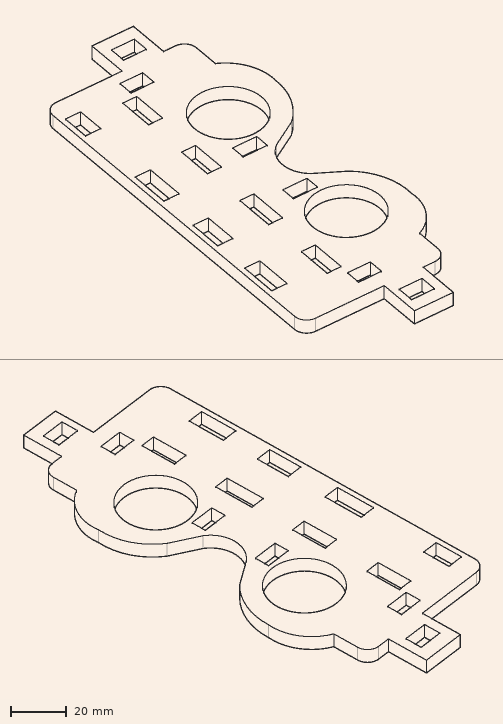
import cadquery as cq

thickness = 6.0
overall_length = 189.9
arch_peak_y = 75.5
body_width = 154.0
shoulder_y = 64.2
corner_radius = 5.3

tab_top_y = 53.5
left_tab_bottom_y = 35.0
right_tab_bottom_y = 36.0

hole_diameter = 30.0
hole_y = 50.9
left_hole_x = -35.1
right_hole_x = 35.0

valley_y = 48.6
valley_end = (10.3, 53.7)
left_arch_start = (-60.4, shoulder_y)
left_arch_flank = (-52.6, 72.5)
left_arch_peak = (-39.3, arch_peak_y)
left_arch_shoulder = (-25.6, 72.3)
left_arch_end = (-17.3, 65.7)
right_arch_end = (17.3, 65.3)
right_arch_shoulder = (25.3, 72.2)
right_arch_peak = (40.6, arch_peak_y)
right_arch_flank = (53.7, 72.5)
right_arch_start = (60.8, shoulder_y)

inner_slots = (40.0, 10.8, [(-18.2, 6.3), (11.5, 6.3)])
tab_slots = (39.1, 10.3, [(-88.9, 7.2), (81.8, 7.5)])
side_slots = (30.0, 10.3, [(-71.8, 6.6), (63.2, 6.6)])
middle_slots = (24.1, 6.3, [(-62.3, 15.4), (-27.3, 15.4), (7.2, 17.0), (43.7, 15.4)])
lower_slots = (2.3, 6.8, [(-67.5, 12.0), (-26.0, 17.0), (8.4, 14.6), (39.0, 16.1)])


def make_block(left, bottom, width, height):
    """Rectangular block through the plate thickness."""
    return cq.Workplane("XY").box(width, height, thickness, centered=False).translate((left, bottom, 0))


def make_body():
    """Rounded rectangle with straight shoulders."""
    body = make_block(-body_width / 2, 0, body_width, shoulder_y)
    return body.edges("|Z").fillet(corner_radius)


def make_tabs():
    """Left and right end tabs, joined by a strip across the body."""
    left = make_block(
        -overall_length / 2, left_tab_bottom_y, overall_length / 2, tab_top_y - left_tab_bottom_y
    )
    right = make_block(0, right_tab_bottom_y, overall_length / 2, tab_top_y - right_tab_bottom_y)
    return left.union(right)


def make_arches():
    """Arched region above the valley floor."""
    return (
        cq.Workplane("XY")
        .moveTo(left_arch_start[0], hole_y - hole_diameter / 2)
        .lineTo(*left_arch_start)
        .threePointArc(left_arch_flank, left_arch_peak)
        .threePointArc(left_arch_shoulder, left_arch_end)
        .lineTo(-valley_end[0], valley_end[1])
        .threePointArc((0, valley_y), valley_end)
        .lineTo(*right_arch_end)
        .threePointArc(right_arch_shoulder, right_arch_peak)
        .threePointArc(right_arch_flank, right_arch_start)
        .lineTo(right_arch_start[0], hole_y - hole_diameter / 2)
        .close()
        .extrude(thickness)
    )


def make_valley():
    """Gap between the arches, cut through the body's straight shoulder."""
    return (
        cq.Workplane("XY")
        .moveTo(*left_arch_end)
        .lineTo(-valley_end[0], valley_end[1])
        .threePointArc((0, valley_y), valley_end)
        .lineTo(*right_arch_end)
        .close()
        .extrude(thickness)
    )


result = make_body().union(make_tabs()).cut(make_valley()).union(make_arches())

for hole_x in (left_hole_x, right_hole_x):
    hole = cq.Workplane("XY").center(hole_x, hole_y).circle(hole_diameter / 2).extrude(thickness)
    result = result.cut(hole)

for bottom, height, openings in (inner_slots, tab_slots, side_slots, middle_slots, lower_slots):
    for left, width in openings:
        result = result.cut(make_block(left, bottom, width, height))